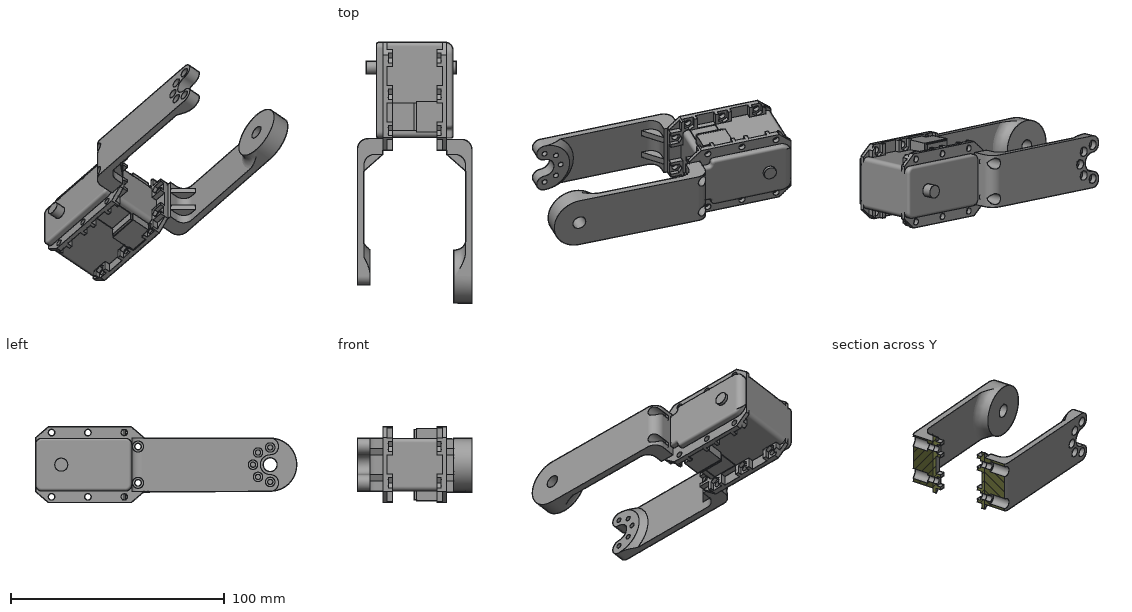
import cadquery as cq
import math


overall_length = 122.1
overall_width = 53.6
arm_height = 24.9
pivot_y = -97.7
pivot_radius = arm_height / 2
rear_y = overall_length + pivot_y - pivot_radius

core_front_y = -32.7
core_height = 24.7
core_edge_radius = 2.1
flange_outer_x = 14.9
flange_thickness = 2.0
flange_inner_x = flange_outer_x - flange_thickness
flange_front_y = -38.7
flange_height = 35.5
flange_corner_y = 6.0
flange_corner_z = 5.1

screw_pitch = 17.0
screw_radius = 1.5
side_screw_ys = [4.5 - i * screw_pitch for i in range(3)]
side_screw_z = 15.0
front_screw_y = -35.9
front_screw_z = screw_pitch / 2
boss_width = 8.0
boss_inner_x = 10.4
nut_width = 4.8
nut_outer_x = 12.3

cover_outer_x = 18.0
cover_front_y = -33.0
cover_edge_radius = 1.2
left_cover_corner = 2.9
right_cover_rear_corner = 5.7
right_cover_rear_round = 3.9
right_cover_step_y = -26.9
right_cover_step_radius = 1.6
shaft_radius = 3.0
shaft_left_x = -22.7
shaft_right_x = 19.4

connector_left_x = 0.9
connector_rear_y = -15.8
connector_front_y = -30.2
connector_top_z = 17.0
lip_width = 1.1
lip_inset = 0.9
lip_drop = 0.5
recess_depth = 0.4

arm_outer_x = overall_width / 2
arm_thickness = 3.0
arm_inner_x = arm_outer_x - arm_thickness
arm_bend_radius = 5.0
base_front_y = -40.5
left_base_rear_y = -33.1
left_base_drop = 0.0
right_base_rear_y = -33.5
right_base_drop = 0.5
rib_thickness = 2.9
rib_z = 6.1
rib_foot_y = -48.4
spotface_radius = 2.6
spotface_floor_x = 18.0

left_end_thickness = 6.0
hub_notch_radius = 4.6
lobe_radius = (arm_height / 2 - hub_notch_radius) / 2
lobe_z = hub_notch_radius + lobe_radius
horn_bolt_circle = 8.0
horn_bolt_angles = [90, 135, 180, 225, 270]
horn_hole_radius = 1.2
horn_head_radius = 2.2
horn_head_depth = 3.0

right_end_thickness = 8.7
disc_raise = 0.7
disc_fillet_radius = 5.0
pivot_hole_radius = 3.2


def box(x0, x1, y0, y1, z0, z1):
    """Box between two corners, given in any order."""
    lows = [min(x0, x1), min(y0, y1), min(z0, z1)]
    size = [abs(x1 - x0), abs(y1 - y0), abs(z1 - z0)]
    return cq.Workplane("XY").box(*size, centered=False).translate(tuple(lows))


def rod(x0, x1, y, z, radius):
    """Cylinder along X from x0 to x1."""
    return cq.Workplane("YZ", origin=(x0, y, z)).circle(radius).extrude(x1 - x0)


def x_prism(x0, x1, points):
    """Prism along X with a polygon of (y, z) points."""
    return cq.Workplane("YZ", origin=(x0, 0, 0)).polyline(points).close().extrude(x1 - x0)



def servo_core():
    """Block between the flanges, rounded along its X edges."""
    half_z = core_height / 2
    core = box(-flange_inner_x, flange_inner_x, core_front_y, rear_y, -half_z, half_z)
    return core.edges("|X").fillet(core_edge_radius)


def flange_outline(x0, x1):
    """Octagonal plate between x0 and x1."""
    half_z = flange_height / 2
    plate = box(x0, x1, flange_front_y, rear_y, -half_z, half_z)
    corners = cq.Workplane("XY")
    for y, inward in ((rear_y, -1), (flange_front_y, 1)):
        for side in (-1, 1):
            corner = x_prism(x0, x1, [
                (y, side * half_z),
                (y + inward * flange_corner_y, side * half_z),
                (y, side * (half_z - flange_corner_z)),
            ])
            corners = corners.union(corner)
    return plate.cut(corners)


def flange_bosses(hand):
    """Nut bosses on the inner face of one flange, trimmed to the flange outline."""
    x0, x1 = hand * boss_inner_x, hand * flange_inner_x
    half = boss_width / 2
    bosses = cq.Workplane("XY")
    for side in (-1, 1):
        for y in side_screw_ys:
            foot_z, tip_z = side * core_height / 2, side * flange_height / 2
            bosses = bosses.union(box(x0, x1, y - half, y + half, foot_z, tip_z))
        z = side * front_screw_z
        foot_y = core_front_y + core_edge_radius
        bosses = bosses.union(box(x0, x1, foot_y, flange_front_y, z - half, z + half))
    return bosses.intersect(flange_outline(x0, x1))


def nut_pocket(hand, y, z, open_angle):
    """Hexagonal nut pocket whose slot runs out of the boss in the direction open_angle."""
    x0, x1 = hand * boss_inner_x, hand * nut_outer_x
    corner_radius = nut_width / math.sqrt(3)
    slot_length = nut_width
    closed_end_angles = [math.radians(angle) for angle in (120, 180, 240)]
    points = [(corner_radius * math.cos(a), corner_radius * math.sin(a)) for a in closed_end_angles]
    points += [(slot_length, -nut_width / 2), (slot_length, nut_width / 2)]
    pocket = x_prism(x0, x1, points)
    return pocket.rotate((0, 0, 0), (1, 0, 0), open_angle).translate((0, y, z))


def screw_cuts(hand):
    """Screw holes through one flange with their nut pockets."""
    cuts = cq.Workplane("XY")
    for side in (-1, 1):
        places = [(y, side * side_screw_z, side * 90) for y in side_screw_ys]
        places.append((front_screw_y, side * front_screw_z, 180))
        for y, z, open_angle in places:
            cuts = cuts.union(rod(hand * nut_outer_x, hand * flange_outer_x, y, z, screw_radius))
            cuts = cuts.union(nut_pocket(hand, y, z, open_angle))
    return cuts


def left_cover():
    """Cover plate with rounded corners and a rounded outer edge."""
    half_z = core_height / 2
    cover = box(-cover_outer_x, -flange_outer_x, cover_front_y, rear_y, -half_z, half_z)
    cover = cover.edges("|X").fillet(left_cover_corner)
    return cover.faces("<X").edges().fillet(cover_edge_radius)


def right_cover():
    """Cover with well-rounded rear corners and stepped front corners."""
    half_z = core_height / 2
    r = right_cover_step_radius
    diagonal = r * math.sqrt(0.5)
    step_mid_y = right_cover_step_y - r
    shoulder_z = half_z - 2 * r
    shoulder_y = right_cover_step_y - 2 * r
    half = (
        cq.Workplane("YZ", origin=(flange_outer_x, 0, 0))
        .moveTo(cover_front_y, 0)
        .lineTo(cover_front_y, shoulder_z)
        .lineTo(shoulder_y, shoulder_z)
        .threePointArc((shoulder_y + diagonal, half_z - r - diagonal), (step_mid_y, half_z - r))
        .threePointArc((right_cover_step_y - diagonal, half_z - r + diagonal), (right_cover_step_y, half_z))
        .lineTo(rear_y, half_z)
        .lineTo(rear_y, 0)
        .close()
        .extrude(cover_outer_x - flange_outer_x)
    )
    cover = half.union(half.mirror("XY"))
    cover = cover.edges("|X and >Y").fillet(right_cover_rear_corner)
    cover = cover.faces(">X").edges().fillet(cover_edge_radius)
    rear_round = box(0, cover_outer_x, cover_front_y, rear_y, -half_z, half_z)
    rear_round = rear_round.edges("|Z and >X and >Y").fillet(right_cover_rear_round)
    return cover.intersect(rear_round)


def connector(side):
    """Connector block with a lip, on the top (side 1) or bottom (side -1)."""
    root = side * (core_height / 2 - recess_depth)
    block = box(connector_left_x, flange_inner_x, connector_front_y, connector_rear_y,
                root, side * connector_top_z)
    lip = box(connector_left_x - lip_width, connector_left_x,
              connector_front_y + lip_inset, connector_rear_y - lip_inset,
              root, side * (connector_top_z - lip_drop))
    return block.union(lip)


def label_recess(side):
    """Shallow recess in the core beside the connector."""
    surface = side * core_height / 2
    return box(-boss_inner_x, connector_left_x,
               connector_front_y + lip_inset, connector_rear_y - lip_inset,
               surface - side * recess_depth, surface)


def make_servo():
    servo = servo_core()
    for side in (-1, 1):
        servo = servo.cut(label_recess(side)).union(connector(side))
    for hand in (-1, 1):
        servo = servo.union(flange_outline(hand * flange_inner_x, hand * flange_outer_x))
        servo = servo.union(flange_bosses(hand))
        servo = servo.cut(screw_cuts(hand))
    servo = servo.union(left_cover()).union(right_cover())
    return servo.union(rod(shaft_left_x, shaft_right_x, 0, 0, shaft_radius))



def side_outline(base_rear_y, base_drop):
    """Block from the pivot to the rear of the base, sloping down by base_drop on the way."""
    half_z = arm_height / 2
    return x_prism(0, arm_outer_x, [
        (pivot_y, -half_z),
        (pivot_y, half_z),
        (base_rear_y, half_z - base_drop),
        (base_rear_y, -half_z - base_drop),
    ])


def arm_plate(base_rear_y, base_drop):
    """L-shaped plate: base against the flange, bend, then a long strip along Y to the pivot."""
    blank_height = arm_height + 2 * base_drop
    plate = (
        cq.Workplane("XY", origin=(0, 0, -blank_height / 2))
        .moveTo(flange_outer_x, base_rear_y)
        .lineTo(arm_outer_x, base_rear_y)
        .lineTo(arm_outer_x, pivot_y)
        .lineTo(arm_inner_x, pivot_y)
        .lineTo(arm_inner_x, base_front_y)
        .lineTo(flange_outer_x, base_front_y)
        .close()
        .extrude(blank_height)
    )
    inner_bend = cq.selectors.NearestToPointSelector((arm_inner_x, base_front_y, 0))
    plate = plate.edges("|Z").edges(inner_bend).fillet(arm_bend_radius)
    plate = plate.edges("|Z and >X and >Y").fillet(arm_bend_radius)
    return plate.intersect(side_outline(base_rear_y, base_drop))


def arm_rib(z):
    """Triangular gusset across the inside of the bend."""
    z0 = z - rib_thickness / 2
    return (
        cq.Workplane("XY", origin=(0, 0, z0))
        .polyline([(flange_outer_x, base_front_y), (arm_inner_x, rib_foot_y), (arm_inner_x, base_front_y)])
        .close()
        .extrude(rib_thickness)
    )


def base_screw_holes():
    """Screw holes through the base, with spotfaces sunk from the outside."""
    cuts = cq.Workplane("XY")
    for side in (-1, 1):
        z = side * front_screw_z
        cuts = cuts.union(rod(flange_outer_x, arm_outer_x, front_screw_y, z, screw_radius))
        cuts = cuts.union(rod(spotface_floor_x, arm_outer_x, front_screw_y, z, spotface_radius))
    return cuts


def make_bracket(base_rear_y, base_drop):
    """Everything of an arm except its pivot end."""
    bracket = arm_plate(base_rear_y, base_drop)
    for side in (-1, 1):
        bracket = bracket.union(arm_rib(side * rib_z))
    return bracket.cut(base_screw_holes())


def pivot_boss(profile):
    """Revolve a closed (x, radius) wire about the pivot axis."""
    return profile.revolve(360, (0, 0, 0), (1, 0, 0)).translate((0, pivot_y, 0))


def left_arm_end():
    """Thickened end: a 45 degree cone rising from the strip and two round lobes."""
    face_x = arm_outer_x - left_end_thickness
    cone_rise = arm_inner_x - face_x
    cone = pivot_boss(
        cq.Workplane("XY")
        .moveTo(face_x, 0)
        .lineTo(face_x, pivot_radius)
        .lineTo(arm_inner_x, pivot_radius + cone_rise)
        .lineTo(arm_outer_x, pivot_radius + cone_rise)
        .lineTo(arm_outer_x, 0)
        .close()
    )
    end = cone.intersect(side_outline(left_base_rear_y, left_base_drop))
    for side in (-1, 1):
        end = end.union(rod(face_x, arm_outer_x, pivot_y, side * lobe_z, lobe_radius))
    return end


def hub_notch():
    """Round notch between the lobes that clears the horn hub."""
    return rod(arm_outer_x - left_end_thickness, arm_outer_x, pivot_y, 0, hub_notch_radius)


def horn_holes():
    """Counterbored horn screw holes on a half circle around the hub."""
    cuts = cq.Workplane("XY")
    for angle in horn_bolt_angles:
        y = pivot_y - horn_bolt_circle * math.cos(math.radians(angle))
        z = horn_bolt_circle * math.sin(math.radians(angle))
        cuts = cuts.union(rod(arm_outer_x - left_end_thickness, arm_outer_x, y, z, horn_hole_radius))
        cuts = cuts.union(rod(arm_outer_x - horn_head_depth, arm_outer_x, y, z, horn_head_radius))
    return cuts


def make_left_arm():
    arm = make_bracket(left_base_rear_y, left_base_drop)
    arm = arm.union(left_arm_end()).cut(hub_notch()).cut(horn_holes())
    return arm.mirror("YZ")


def right_arm_end():
    """Round bearing disc that flares into the strip through a concave fillet."""
    face_x = arm_outer_x - right_end_thickness
    flare_x = face_x + disc_raise
    flare_run = arm_inner_x - flare_x
    r = disc_fillet_radius

    def flare_radius(run):
        return pivot_radius + r - math.sqrt(r ** 2 - run ** 2)

    flare = pivot_boss(
        cq.Workplane("XY")
        .moveTo(flare_x, 0)
        .lineTo(flare_x, pivot_radius)
        .threePointArc((flare_x + flare_run / 2, flare_radius(flare_run / 2)),
                       (arm_inner_x, flare_radius(flare_run)))
        .lineTo(arm_outer_x, flare_radius(flare_run))
        .lineTo(arm_outer_x, 0)
        .close()
    )
    flare = flare.intersect(side_outline(right_base_rear_y, right_base_drop))
    return flare.union(rod(face_x, arm_outer_x, pivot_y, 0, pivot_radius))


def make_right_arm():
    arm = make_bracket(right_base_rear_y, right_base_drop)
    arm = arm.union(right_arm_end())
    pivot_hole = rod(arm_outer_x - right_end_thickness, arm_outer_x, pivot_y, 0, pivot_hole_radius)
    return arm.cut(pivot_hole)


servo = make_servo()
left_arm = make_left_arm()
right_arm = make_right_arm()

result = cq.Compound.makeCompound([body.solids().val() for body in (servo, left_arm, right_arm)])